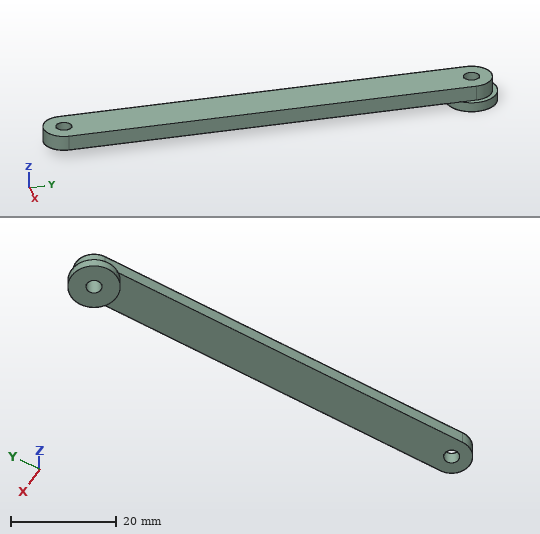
import cadquery as cq

overall_length = 89.0
bar_width = 8.0
bar_thickness = 3.0
disc_diameter = 10.0
disc_thickness = 2.0
hole_diameter = 3.0

hole_spacing = overall_length - disc_diameter / 2 - bar_width / 2
hole_centers = [(0, -hole_spacing / 2), (0, hole_spacing / 2)]
total_thickness = disc_thickness + bar_thickness


def make_bar():
    """Flat link with full-round ends, resting on top of the disc."""
    return (
        cq.Workplane("XY")
        .workplane(offset=disc_thickness)
        .slot2D(hole_spacing + bar_width, bar_width, angle=90)
        .extrude(bar_thickness)
    )


def make_disc():
    """Round boss under the +Y end, concentric with its hole."""
    return (
        cq.Workplane("XY")
        .center(0, hole_spacing / 2)
        .circle(disc_diameter / 2)
        .extrude(disc_thickness)
    )


def make_holes():
    """Pivot holes through the full thickness at both ends."""
    return (
        cq.Workplane("XY")
        .pushPoints(hole_centers)
        .circle(hole_diameter / 2)
        .extrude(total_thickness)
    )


result = make_bar().union(make_disc()).cut(make_holes())